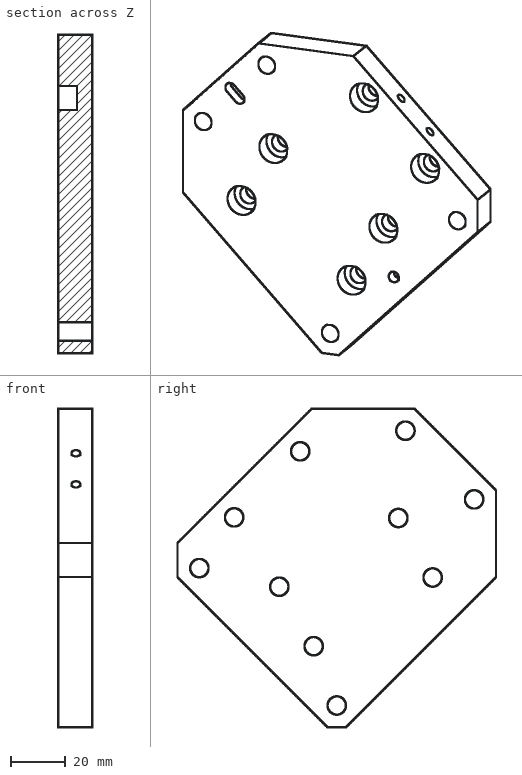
import math

import cadquery as cq

thickness = 12.5
overall = 116.0
half = overall / 2
front_x = -thickness / 2

mount_reach = 50.0
mount_half_reach = mount_reach / 2
edge_margin = 8.0
edge_slope = 45.0
bolt_diameter = 6.6
mount_holes = [
    (0, -mount_reach),
    (-mount_reach, 0),
    (mount_half_reach, mount_reach),
    (mount_reach, mount_half_reach),
]

margin_sum = edge_margin * math.sqrt(2)
lower_sum = mount_reach + margin_sum
upper_plus_y_sum = mount_reach + mount_half_reach + margin_sum
upper_minus_y_distance = 47.45
upper_minus_y_sum = upper_minus_y_distance * math.sqrt(2)

counterbore_diameter = 11.0
counterbore_depth = 6.8
bolt_rectangle_center = (7.0, -5.1)
bolt_rectangle_length = 50.0
bolt_rectangle_width = 25.0
bolt_rectangle_angle = 30.0
edge_bolt_spacing = 34.0
edge_bolt_inset = edge_margin

edge_hole_diameter = 3.24
edge_hole_spacing = 16.0
edge_hole_depth = 10.0
edge_pattern_shift = 3.65
edge_hole_x = 0.25

dowel_diameter = 4.0
dowel_depth = 5.0
dowel_hole_center = (-mount_half_reach, -mount_half_reach)
slot_offset = (mount_reach + mount_half_reach) / 2
slot_center = (slot_offset, slot_offset)
slot_length = 9.0


def edge_point(along, inset):
    """(y, z) of a point beside the upper -Y edge, from its run and its distance inside the edge."""
    outward = upper_minus_y_distance - inset
    run = edge_pattern_shift + along
    return ((run - outward) / math.sqrt(2), (run + outward) / math.sqrt(2))


def rectangle_points():
    """Corners of the tilted rectangle of bolts."""
    angle = math.radians(bolt_rectangle_angle)
    points = []
    for side_u in (-1, 1):
        for side_v in (-1, 1):
            u = side_u * bolt_rectangle_length / 2
            v = side_v * bolt_rectangle_width / 2
            y = bolt_rectangle_center[0] + u * math.cos(angle) - v * math.sin(angle)
            z = bolt_rectangle_center[1] + u * math.sin(angle) + v * math.cos(angle)
            points.append((y, z))
    return points


def face_plane():
    """Sketch plane on the machined face: local axes are Y and Z, extrusion runs into the plate."""
    return cq.Workplane("YZ", origin=(front_x, 0, 0))


def make_plate():
    outline = [
        (upper_plus_y_sum - half, half),
        (half, upper_plus_y_sum - half),
        (half, half - lower_sum),
        (lower_sum - half, -half),
        (half - lower_sum, -half),
        (-half, half - lower_sum),
        (-half, upper_minus_y_sum - half),
        (half - upper_minus_y_sum, half),
    ]
    return face_plane().polyline(outline).close().extrude(thickness)


def round_cuts(points, diameter, depth):
    return face_plane().pushPoints(points).circle(diameter / 2).extrude(depth)


def make_slot():
    return (
        face_plane()
        .center(*slot_center)
        .transformed(rotate=(0, 0, edge_slope))
        .slot2D(slot_length, dowel_diameter)
        .extrude(dowel_depth)
    )


def make_edge_hole(along):
    y, z = edge_point(along, 0)
    start = cq.Vector(edge_hole_x, y, z)
    inward = cq.Vector(0, 1, -1)
    return cq.Solid.makeCylinder(edge_hole_diameter / 2, edge_hole_depth, start, inward)


edge_bolts = [edge_point(side * edge_bolt_spacing / 2, edge_bolt_inset) for side in (-1, 1)]
counterbored_holes = rectangle_points() + edge_bolts

result = make_plate()
result = result.cut(round_cuts(mount_holes + counterbored_holes, bolt_diameter, thickness))
result = result.cut(round_cuts(counterbored_holes, counterbore_diameter, counterbore_depth))
result = result.cut(round_cuts([dowel_hole_center], dowel_diameter, dowel_depth))
result = result.cut(make_slot())
for side in (-1, 1):
    result = result.cut(make_edge_hole(side * edge_hole_spacing / 2))